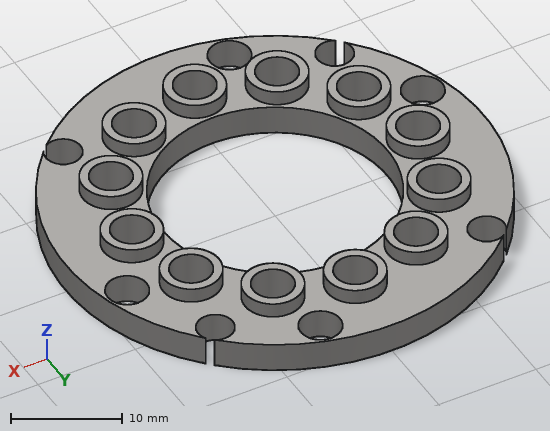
import cadquery as cq
import math

outer_diameter = 42.85
bore_diameter = 23.0
plate_thickness = 3.0

boss_count = 12
boss_circle_radius = 14.7
boss_diameter = 5.7
boss_height = 1.5
hole_diameter = 4.0

rim_hole_circle_radius = 19.15
rim_hole_angles = (17.0, 73.0, 197.0, 253.0)

notch_count = 4
notch_circle_radius = 19.7
notch_diameter = 3.5
first_notch_angle = 45.0

total_height = plate_thickness + boss_height


def polar_point(radius, angle):
    """Point at a radius and an angle in degrees about the ring axis."""
    turn = math.radians(angle)
    return (radius * math.cos(turn), radius * math.sin(turn))


def cylinders(points, diameter, height):
    """Upright cylinders standing on the bottom plane."""
    return cq.Workplane("XY").pushPoints(points).circle(diameter / 2).extrude(height)


boss_points = [polar_point(boss_circle_radius, i * 360 / boss_count) for i in range(boss_count)]
rim_hole_points = [polar_point(rim_hole_circle_radius, angle) for angle in rim_hole_angles]
notch_points = [
    polar_point(notch_circle_radius, first_notch_angle + i * 360 / notch_count)
    for i in range(notch_count)
]

plate = (
    cq.Workplane("XY")
    .circle(outer_diameter / 2)
    .circle(bore_diameter / 2)
    .extrude(plate_thickness)
)
bosses = cylinders(boss_points, boss_diameter, total_height)
holes = cylinders(boss_points + rim_hole_points, hole_diameter, total_height)
notches = cylinders(notch_points, notch_diameter, total_height)

result = plate.union(bosses).cut(holes).cut(notches)